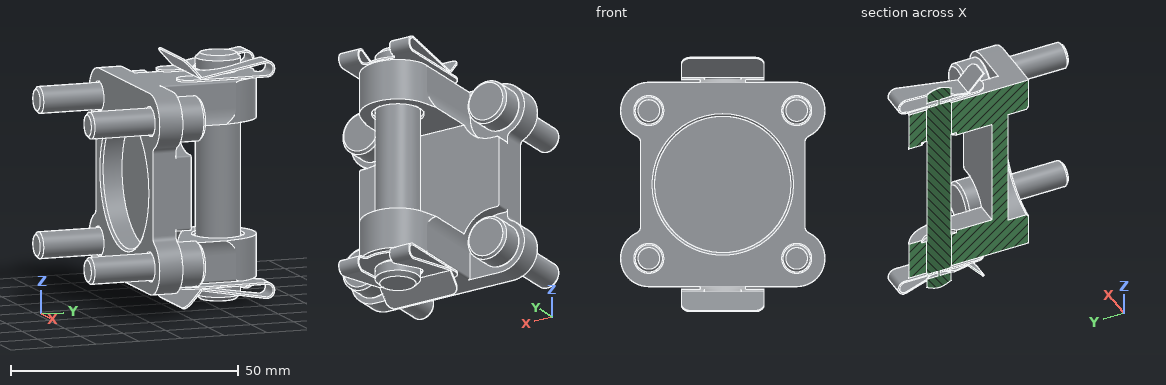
import cadquery as cq
import math

overall_height = 55.95
flange_size = 44.95
flange_thick = 5.4
screw_pitch = 32.5
screw_offset = screw_pitch / 2
corner_radius = (flange_size - screw_pitch) / 2
waist_width = 36.2
waist_fillet = 1.5
screw_hole_dia = 6.6
bore_dia = 30.0
bore_depth = 5.0
bore_chamfer = 0.55

block_back = 9.0
pocket_radius = 7.85
pocket_wall = screw_offset - pocket_radius
edge_fillet = 0.5
lug_gap = 26.05
lug_radius = 8.45
lug_flare_angle = math.radians(15)

pin_y = 21.9
pin_dia = 10.0
pin_length = 54.9
pin_chamfer = 1.0
groove_dia = 8.0
groove_width = 1.1
groove_start = 23.0
counterbore_dia = 11.6
counterbore_depth = 0.65

screw_dia = 6.0
screw_head_dia = 10.0
screw_head_height = 6.0
screw_tip_y = -14.6
screw_chamfer = 0.6
head_seat_chamfer = 0.3
screw_places = [(x, z) for x in (-screw_offset, screw_offset) for z in (-screw_offset, screw_offset)]

clip_width = 18.25
clip_thick = 0.4
clip_flat_top = groove_start + clip_thick
clip_loop_radius = 1.8
clip_loop_y = 30.1
clip_bend_y = 14.8
clip_tip_y = 10.0
leaf_angle = math.radians(10.2)
lip_angle = math.radians(48)
lip_corner_radius = 2.0
loop_notch_radius = 7.95
notch_fillet = 0.85
notch_width = 8.15
leg_tip_radius = 2.5
opening_radius = 5.5
opening_neck_y = 30.75

selection_margin = 0.55


def circle_point(radius, angle):
    """Point of a circle about the origin at an angle from the X axis."""
    return radius * math.cos(angle), radius * math.sin(angle)


def y_cylinder(dia, y_start, y_end):
    """Cylinder along the Y axis between two Y positions."""
    return cq.Workplane("XZ", origin=(0, y_start, 0)).circle(dia / 2).extrude(y_start - y_end)


def make_flange():
    half = flange_size / 2
    tall = cq.Workplane("XY").box(screw_pitch, flange_thick, flange_size)
    wide = cq.Workplane("XY").box(waist_width, flange_thick, screw_pitch)
    corners = (
        cq.Workplane("XZ", origin=(0, flange_thick / 2, 0))
        .rect(screw_pitch, screw_pitch, forConstruction=True)
        .vertices()
        .circle(corner_radius)
        .extrude(flange_thick)
    )
    flange = tall.union(wide).union(corners)
    zone_height = screw_offset - selection_margin
    waist_zone = cq.selectors.BoxSelector((-half, -half, -zone_height), (half, half, zone_height))
    flange = flange.edges("|Y").edges(waist_zone).fillet(waist_fillet)
    return flange.translate((0, flange_thick / 2, 0))


def make_cross(y_end):
    """Cross-shaped bar standing on the flange; its inner corners clear the screw heads."""
    length = y_end - flange_thick
    wide = cq.Workplane("XY").box(waist_width, length, 2 * pocket_wall)
    tall = cq.Workplane("XY").box(2 * pocket_wall, length, flange_size)
    reach = pocket_wall + selection_margin
    inner_zone = cq.selectors.BoxSelector((-reach, -length, -reach), (reach, length, reach))
    cross = wide.union(tall)
    cross = cross.edges("|Y and (<X or >X or <Z or >Z)").fillet(edge_fillet)
    cross = cross.edges("|Y").edges(inner_zone).fillet(pocket_radius)
    return cross.translate((0, flange_thick + length / 2, 0))


def make_lugs():
    contact_x, contact_dy = circle_point(lug_radius, lug_flare_angle)
    contact_y = pin_y + contact_dy
    root_x = contact_x + (contact_y - flange_thick) * math.tan(lug_flare_angle)
    lug_end_y = pin_y + lug_radius
    plan = (
        cq.Workplane("XY", origin=(0, 0, -flange_size / 2))
        .moveTo(-root_x, flange_thick)
        .lineTo(root_x, flange_thick)
        .lineTo(contact_x, contact_y)
        .threePointArc((0, lug_end_y), (-contact_x, contact_y))
        .close()
        .extrude(flange_size)
    )
    gap = cq.Workplane("XY").box(2 * root_x, 2 * lug_end_y, lug_gap)
    return make_cross(lug_end_y).intersect(plan).cut(gap)


def make_housing():
    housing = make_flange().union(make_cross(block_back)).union(make_lugs())
    housing = housing.cut(y_cylinder(bore_dia, 0, bore_depth))
    mouth = cq.Solid.makeCone(
        bore_dia / 2 + bore_chamfer, bore_dia / 2, bore_chamfer, cq.Vector(0, 0, 0), cq.Vector(0, 1, 0)
    )
    housing = housing.cut(cq.Workplane(mouth))
    for x, z in screw_places:
        housing = housing.cut(y_cylinder(screw_hole_dia, 0, flange_thick).translate((x, 0, z)))
    pin_hole = cq.Workplane("XY").circle(pin_dia / 2).extrude(flange_size / 2, both=True)
    counterbore_end = lug_gap / 2 + counterbore_depth
    counterbore = cq.Workplane("XY").circle(counterbore_dia / 2).extrude(counterbore_end, both=True)
    return housing.cut(pin_hole.union(counterbore).translate((0, pin_y, 0)))


def make_pin():
    pin = cq.Workplane("XY").circle(pin_dia / 2).extrude(pin_length / 2, both=True)
    pin = pin.faces("<Z or >Z").chamfer(pin_chamfer)
    groove = (
        cq.Workplane("XY", origin=(0, 0, groove_start))
        .circle(pin_dia / 2)
        .circle(groove_dia / 2)
        .extrude(groove_width)
    )
    pin = pin.cut(groove).cut(groove.mirror("XY"))
    return pin.translate((0, pin_y, 0))


def make_screw():
    head = y_cylinder(screw_head_dia, flange_thick, flange_thick + screw_head_height)
    head = head.faces(">Y").chamfer(screw_chamfer)
    head = head.faces("<Y").chamfer(head_seat_chamfer)
    shank = y_cylinder(screw_dia, screw_tip_y, flange_thick)
    shank = shank.faces("<Y").chamfer(screw_chamfer)
    return head.union(shank)


def make_clip_strip():
    """Full-width bent strip of the upper clip, its flat leaf lying on the inner wall of the groove."""
    inner_radius = clip_loop_radius - clip_thick
    loop_z = groove_start + clip_loop_radius
    leaf_dy, leaf_dz = clip_thick * math.sin(leaf_angle), clip_thick * math.cos(leaf_angle)
    lip_dy, lip_dz = clip_thick * math.sin(lip_angle), clip_thick * math.cos(lip_angle)
    middle_angle = (lip_angle - leaf_angle) / 2

    def leaf_start(radius):
        """Point where a loop circle runs into the sloped leaf."""
        return clip_loop_y - radius * math.sin(leaf_angle), loop_z + radius * math.cos(leaf_angle)

    start_y, start_z = leaf_start(clip_loop_radius)
    bend_z = start_z - (start_y - clip_bend_y) * math.tan(leaf_angle)
    lip_end_z = overall_height / 2
    lip_end_y = clip_bend_y - (lip_end_z - bend_z) / math.tan(lip_angle)
    bend_middle = (
        clip_bend_y - clip_thick * math.sin(middle_angle),
        bend_z - clip_thick * math.cos(middle_angle),
    )
    strip = (
        cq.Workplane("YZ", origin=(-clip_width / 2, 0, 0))
        .moveTo(clip_tip_y, groove_start)
        .lineTo(clip_loop_y, groove_start)
        .threePointArc((clip_loop_y + clip_loop_radius, loop_z), (start_y, start_z))
        .lineTo(clip_bend_y, bend_z)
        .lineTo(lip_end_y, lip_end_z)
        .lineTo(lip_end_y - lip_dy, lip_end_z - lip_dz)
        .lineTo(clip_bend_y - lip_dy, bend_z - lip_dz)
        .threePointArc(bend_middle, (clip_bend_y + leaf_dy, bend_z - leaf_dz))
        .lineTo(*leaf_start(inner_radius))
        .threePointArc((clip_loop_y + inner_radius, loop_z), (clip_loop_y, clip_flat_top))
        .lineTo(clip_tip_y, clip_flat_top)
        .close()
        .extrude(clip_width)
    )
    lip_corners = cq.selectors.ParallelDirSelector(cq.Vector(0, lip_dy, lip_dz))
    return strip.edges(lip_corners).fillet(lip_corner_radius)


def make_loop_notch():
    """Cutter that splits the loop into two strips; its floor is an arc about the pin axis."""
    notch = cq.Workplane("XY", origin=(0, pin_y + overall_height / 2, overall_height / 2)).box(
        notch_width, overall_height, overall_height
    )
    web = cq.Workplane("XY", origin=(0, pin_y, 0)).circle(loop_notch_radius).extrude(overall_height)
    return notch.cut(web).edges("|Z and <Y").fillet(notch_fillet)


def make_leaf_opening():
    """Cutter for the sloped leaf: a round hole for the pin head that narrows towards the loop."""
    neck_x, neck_dy = notch_width / 2, opening_neck_y - pin_y
    side_angle = math.atan2(neck_dy, neck_x) - math.acos(opening_radius / math.hypot(neck_x, neck_dy))
    contact_x, contact_dy = circle_point(opening_radius, side_angle)
    return (
        cq.Workplane("XY", origin=(0, pin_y, clip_flat_top))
        .moveTo(neck_x, neck_dy)
        .lineTo(contact_x, contact_dy)
        .threePointArc((0, -opening_radius), (-contact_x, contact_dy))
        .lineTo(-neck_x, neck_dy)
        .close()
        .extrude(overall_height)
    )


def make_leg_slot():
    """Cutter for the flat leaf: a slot that slides over the pin groove, open at the leg tips."""
    seat_radius = groove_dia / 2
    return (
        cq.Workplane("XY", origin=(0, pin_y, groove_start))
        .moveTo(-seat_radius, clip_tip_y - pin_y)
        .lineTo(-seat_radius, 0)
        .threePointArc((0, seat_radius), (seat_radius, 0))
        .lineTo(seat_radius, clip_tip_y - pin_y)
        .close()
        .extrude(clip_thick)
    )


def make_clip():
    clip = make_clip_strip().cut(make_loop_notch()).cut(make_leaf_opening()).cut(make_leg_slot())
    return clip.edges("|Z and <Y").fillet(leg_tip_radius)


housing = make_housing()
pin = make_pin()

screws = cq.Workplane("XY")
for screw_x, screw_z in screw_places:
    screws.add(make_screw().translate((screw_x, 0, screw_z)))

clips = cq.Workplane("XY")
for turn in (0, 180):
    clips.add(make_clip().rotate((0, 0, 0), (0, 1, 0), turn))

result = cq.Compound.makeCompound([housing.val(), pin.val(), *screws.vals(), *clips.vals()])